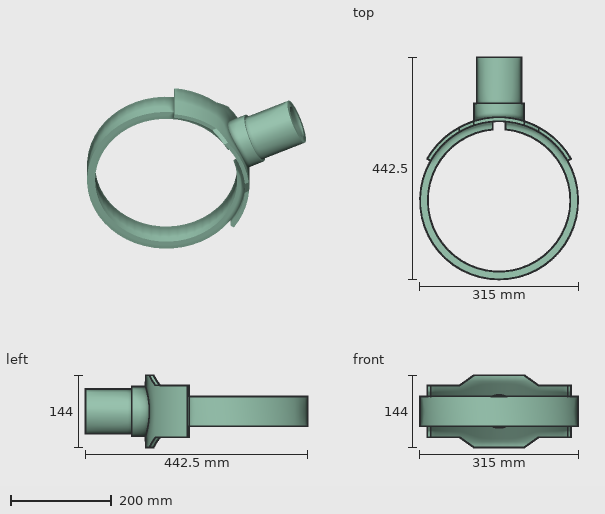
import cadquery as cq
import math

ring_outer_radius = 157.5
ring_thickness = 16.0
ring_width = 60.0

saddle_thickness = 8.0
saddle_half_angle = 60.0
saddle_end_height = 103.0
saddle_centre_height = 144.0
saddle_centre_width = 100.0
saddle_shoulder_width = 158.0

pipe_diameter = 90.0
pipe_bore = 65.0
pipe_end_y = 285.0
collar_diameter = 100.0
collar_end_y = 193.0

ring_inner_radius = ring_outer_radius - ring_thickness
saddle_outer_radius = ring_outer_radius + saddle_thickness


def tube(outer_radius, inner_radius, height):
    """Hollow cylinder along Z, centred on the origin."""
    ring_face = cq.Workplane("XY").circle(outer_radius).circle(inner_radius)
    return ring_face.extrude(height / 2, both=True)


def branch_cylinder(diameter, end_y):
    """Solid cylinder along +Y, from the ring axis to end_y."""
    return cq.Workplane("XZ").circle(diameter / 2).extrude(-end_y)


def make_saddle():
    """Curved plate with radial ends and a raised middle on both edges."""
    shell = tube(saddle_outer_radius, ring_outer_radius, saddle_centre_height)

    wedge_length = 2 * saddle_outer_radius
    wedge_half_width = wedge_length * math.tan(math.radians(saddle_half_angle))
    wedge = (
        cq.Workplane("XY")
        .polyline([(0, 0), (wedge_half_width, wedge_length), (-wedge_half_width, wedge_length)])
        .close()
        .extrude(saddle_centre_height / 2, both=True)
    )

    top = saddle_centre_height / 2
    wing_top = saddle_end_height / 2
    centre_x = saddle_centre_width / 2
    shoulder_x = saddle_shoulder_width / 2
    end_x = saddle_outer_radius
    upper_edge = [
        (-end_x, wing_top),
        (-shoulder_x, wing_top),
        (-centre_x, top),
        (centre_x, top),
        (shoulder_x, wing_top),
        (end_x, wing_top),
    ]
    lower_edge = [(x, -z) for x, z in reversed(upper_edge)]
    outline = (
        cq.Workplane("XZ")
        .polyline(upper_edge + lower_edge)
        .close()
        .extrude(-saddle_outer_radius)
    )
    return shell.intersect(wedge).intersect(outline)


def make_branch():
    """Pipe and collar, trimmed to the outside of the ring."""
    pipe = branch_cylinder(pipe_diameter, pipe_end_y)
    collar = branch_cylinder(collar_diameter, collar_end_y)
    ring_space = cq.Workplane("XY").circle(ring_outer_radius).extrude(collar_diameter, both=True)
    return pipe.union(collar).cut(ring_space)


ring = tube(ring_outer_radius, ring_inner_radius, ring_width)
body = ring.union(make_saddle()).union(make_branch())

result = body.cut(branch_cylinder(pipe_bore, pipe_end_y))